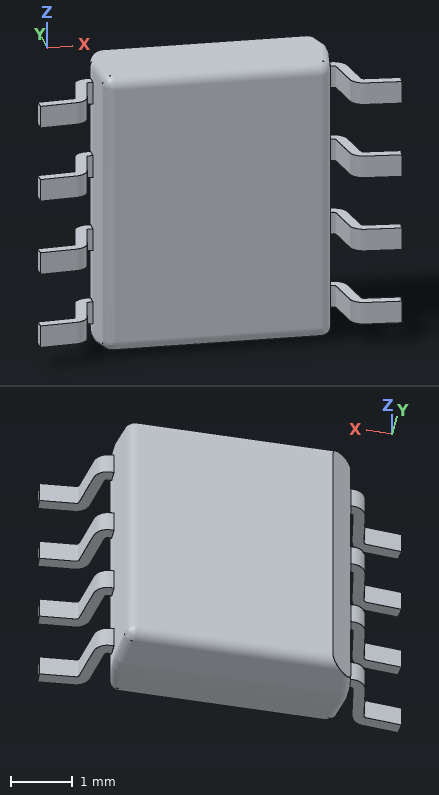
import cadquery as cq
import math


SPAN_X = 6.0

HOUSING_X = 3.9
HOUSING_Y = 1.5
HOUSING_Z = 4.9
DRAFT_ANGLE = 8.0
CORNER_RADIUS = 0.15
RIM_RADIUS = 0.2
PIN_ONE_CHAMFER = 0.415

LEADS_PER_SIDE = 4
LEAD_PITCH = 1.27
LEAD_WIDTH = 0.38
LEAD_THICKNESS = 0.2
LEAD_DROP = 1.0
SHOULDER_LENGTH = 0.06
INSIDE_BEND_RADIUS = 0.05
LEG_ANGLE = 80.0
FOOT_ANGLE = 5.0


def make_housing():
    """Straight band as thick as the leads, drafted halves, rounded edges and one bevel."""
    band = (
        cq.Workplane("XZ")
        .rect(HOUSING_X, HOUSING_Z)
        .extrude(LEAD_THICKNESS / 2, both=True)
    )
    half_depth = (HOUSING_Y - LEAD_THICKNESS) / 2
    drafted = (
        band.faces(">Y").workplane(centerOption="CenterOfBoundBox")
        .rect(HOUSING_X, HOUSING_Z).extrude(half_depth, taper=DRAFT_ANGLE)
        .faces("<Y").workplane(centerOption="CenterOfBoundBox")
        .rect(HOUSING_X, HOUSING_Z).extrude(half_depth, taper=DRAFT_ANGLE)
    )
    rounded = drafted.faces(">Y or <Y").edges().fillet(RIM_RADIUS)
    rounded = rounded.edges("not (|X or |Z)").fillet(CORNER_RADIUS)

    corner_x = -HOUSING_X / 2
    corner_y = HOUSING_Y / 2
    bevel = (
        cq.Workplane("XY")
        .polyline([
            (corner_x, corner_y),
            (corner_x + PIN_ONE_CHAMFER, corner_y),
            (corner_x, corner_y - PIN_ONE_CHAMFER),
        ])
        .close()
        .extrude(HOUSING_Z / 2, both=True)
    )
    return rounded.cut(bevel).solids()


def make_lead():
    """One lead on the +X side at Z = 0: shoulder, steep leg and a slightly drooping foot."""
    leg = math.radians(LEG_ANGLE)
    foot = math.radians(FOOT_ANGLE)
    bend = INSIDE_BEND_RADIUS + LEAD_THICKNESS / 2

    wall_x = HOUSING_X / 2
    shoulder_x = wall_x + SHOULDER_LENGTH
    leg_top_x = shoulder_x + bend * math.sin(leg)
    leg_top_y = -bend * (1 - math.cos(leg))

    tip_x = SPAN_X / 2 - LEAD_THICKNESS / 2 * math.sin(foot)
    tip_y = -LEAD_DROP + LEAD_THICKNESS / 2 * math.cos(foot)

    bend_dx = bend * (math.sin(leg) - math.sin(foot))
    bend_dy = -bend * (math.cos(foot) - math.cos(leg))
    run_x = tip_x - leg_top_x - bend_dx
    run_y = leg_top_y + bend_dy - tip_y
    leg_length = (run_y * math.cos(foot) - run_x * math.sin(foot)) / math.sin(leg - foot)
    leg_end_x = leg_top_x + leg_length * math.cos(leg)
    leg_end_y = leg_top_y - leg_length * math.sin(leg)

    centreline = (
        cq.Workplane("XY")
        .moveTo(wall_x, 0)
        .lineTo(shoulder_x, 0)
        .tangentArcPoint((leg_top_x, leg_top_y), relative=False)
        .lineTo(leg_end_x, leg_end_y)
        .tangentArcPoint((leg_end_x + bend_dx, leg_end_y + bend_dy), relative=False)
        .lineTo(tip_x, tip_y)
    )
    return (
        cq.Workplane("YZ", origin=(wall_x, 0, 0))
        .rect(LEAD_THICKNESS, LEAD_WIDTH)
        .sweep(centreline)
    )


def make_lead_rows():
    """Both rows of leads, the -X row turned half way round the Y axis."""
    lead = make_lead()
    leads = []
    for turn in (0, 180):
        row_lead = lead.rotate((0, 0, 0), (0, 1, 0), turn)
        for index in range(LEADS_PER_SIDE):
            lead_z = (index - (LEADS_PER_SIDE - 1) / 2) * LEAD_PITCH
            leads.append(row_lead.translate((0, 0, lead_z)).val())
    return leads


housing = make_housing()
leads = make_lead_rows()

result = cq.Compound.makeCompound([housing.val(), *leads])